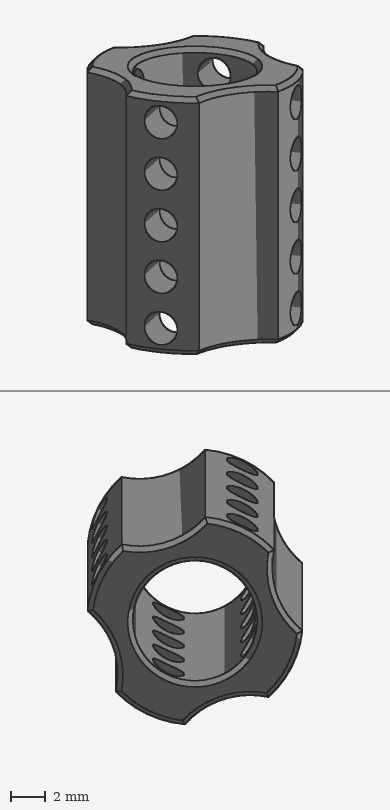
import cadquery as cq

hole_pitch = 3.125
holes_per_row = 5
outer_diameter = 12.5
bore_diameter = 7.2
cross_hole_diameter = 2.0
flute_radius = 5.0
flute_center_distance = 10.0
flute_count = 4
edge_chamfer = 0.3

height = holes_per_row * hole_pitch
half_flute_angle = 180 / flute_count


def fluted_body():
    """Cylinder with four flutes on the diagonals, its end outlines chamfered."""
    body = cq.Workplane("XY").circle(outer_diameter / 2).extrude(height)
    flutes = (
        cq.Workplane("XY")
        .polarArray(flute_center_distance, half_flute_angle, 360, flute_count)
        .circle(flute_radius)
        .extrude(height)
    )
    return body.cut(flutes).faces("<Z or >Z").edges().chamfer(edge_chamfer)


def bore():
    """Axial bore, widened by a chamfer at both ends."""
    radius = bore_diameter / 2
    mouth_radius = radius + edge_chamfer
    profile = [
        (0, 0),
        (mouth_radius, 0),
        (radius, edge_chamfer),
        (radius, height - edge_chamfer),
        (mouth_radius, height),
        (0, height),
    ]
    return cq.Workplane("XZ").polyline(profile).close().revolve(360, (0, 0), (0, 1))


def cross_holes(plane_name):
    """Row of holes through both walls, along the normal of the given plane."""
    centers = [(0, (index + 0.5) * hole_pitch) for index in range(holes_per_row)]
    return (
        cq.Workplane(plane_name)
        .pushPoints(centers)
        .circle(cross_hole_diameter / 2)
        .extrude(outer_diameter, both=True)
    )


result = fluted_body().cut(bore())
for plane_name in ("XZ", "YZ"):
    result = result.cut(cross_holes(plane_name))